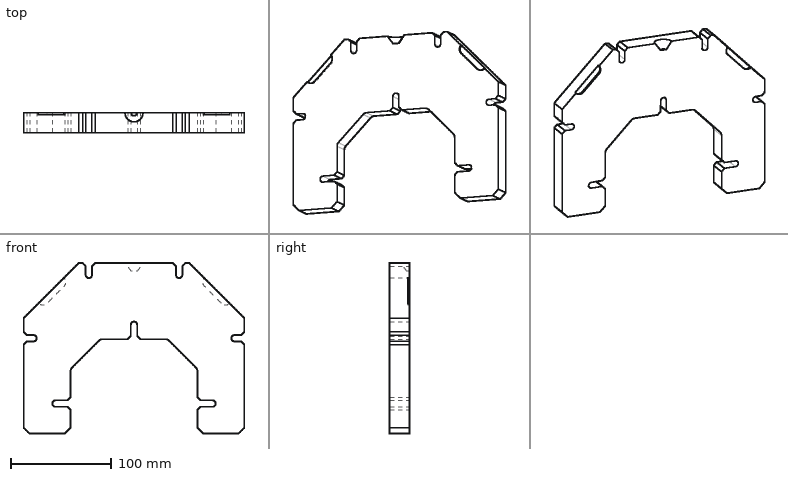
import cadquery as cq

width = 220.0
height = 170.0
thickness = 20.0
half_width = width / 2
half_thickness = thickness / 2
overcut = 5.0

RIGHT = 0
UP = 90
LEFT = 180
DOWN = 270

shoulder_bevel = 55.0
shoulder_angle = 45.0
foot_bevel = 6.0
opening_half_width = 63.0
opening_height = 94.0
opening_bevel = 29.6
opening_corner_radius = 5.0

slot_width = 6.1
slot_mouth_bevel = 3.2
top_slot_x = 45.0
top_slot_depth = 15.0
side_slot_z = 95.0
side_slot_depth = 13.0
leg_slot_z = 30.0
leg_slot_depth = 18.2
crown_slot_depth = 17.5

funnel_top_radius = 9.0
funnel_floor_radius = 3.0
funnel_depth = 8.0

recess_length = 35.6
recess_width = 11.5
recess_depth = 2.0


def extrude_through(sketch):
    """Extrude an XZ sketch symmetrically through the plate thickness."""
    return sketch.extrude(half_thickness, both=True)


def make_outer_body():
    shoulder_x = half_width - shoulder_bevel
    foot_x = half_width - foot_bevel
    points = [
        (-foot_x, 0),
        (foot_x, 0),
        (half_width, foot_bevel),
        (half_width, height - shoulder_bevel),
        (shoulder_x, height),
        (-shoulder_x, height),
        (-half_width, height - shoulder_bevel),
        (-half_width, foot_bevel),
    ]
    return extrude_through(cq.Workplane("XZ").polyline(points).close())


def make_opening():
    """Arched opening between the legs, flared by the foot bevels at the bottom."""
    flared_x = opening_half_width + foot_bevel
    crown_x = opening_half_width - opening_bevel
    spring_z = opening_height - opening_bevel
    points = [
        (-flared_x, 0),
        (-opening_half_width, foot_bevel),
        (-opening_half_width, spring_z),
        (-crown_x, opening_height),
        (crown_x, opening_height),
        (opening_half_width, spring_z),
        (opening_half_width, foot_bevel),
        (flared_x, 0),
    ]
    opening = extrude_through(cq.Workplane("XZ").polyline(points).close())
    arch_corners = cq.selectors.BoxSelector(
        (-half_width, -half_thickness, spring_z / 2), (half_width, half_thickness, height)
    )
    return opening.edges("|Y").edges(arch_corners).fillet(opening_corner_radius)


def make_slot(x, z, depth, angle):
    """Slot from an edge point (x, z), running inward at an angle measured from +X toward +Z."""
    radius = slot_width / 2
    mouth = radius + slot_mouth_bevel
    slot = (
        cq.Workplane("XZ")
        .moveTo(-overcut, -mouth)
        .lineTo(0, -mouth)
        .lineTo(slot_mouth_bevel, -radius)
        .lineTo(depth - radius, -radius)
        .threePointArc((depth, 0), (depth - radius, radius))
        .lineTo(slot_mouth_bevel, radius)
        .lineTo(0, mouth)
        .lineTo(-overcut, mouth)
        .close()
    )
    slot = extrude_through(slot)
    return slot.rotate((0, 0, 0), (0, -1, 0), angle).translate((x, 0, z))


def make_funnel():
    """Cone frustum with a vertical axis on the back face, narrowing downward from the top edge."""
    return (
        cq.Workplane("XY", origin=(0, half_thickness, height))
        .circle(funnel_top_radius)
        .workplane(offset=-funnel_depth)
        .circle(funnel_floor_radius)
        .loft(combine=True)
    )


def make_shoulder_recess(side):
    """Recess along the shoulder edge; side is -1 for the -X shoulder and +1 for the +X shoulder."""
    centre_x = side * (half_width - shoulder_bevel / 2)
    centre_z = height - shoulder_bevel / 2
    slope_angle = -side * shoulder_angle
    return (
        cq.Workplane("XZ", origin=(centre_x, half_thickness, centre_z))
        .slot2D(recess_length, recess_width, slope_angle)
        .extrude(recess_depth)
    )


result = make_outer_body().cut(make_opening())
for side, inward, outward in ((-1, RIGHT, LEFT), (1, LEFT, RIGHT)):
    result = result.cut(make_slot(side * top_slot_x, height, top_slot_depth, DOWN))
    result = result.cut(make_slot(side * half_width, side_slot_z, side_slot_depth, inward))
    result = result.cut(make_slot(side * opening_half_width, leg_slot_z, leg_slot_depth, outward))
    result = result.cut(make_shoulder_recess(side))
result = result.cut(make_slot(0, opening_height, crown_slot_depth, UP))
result = result.cut(make_funnel())